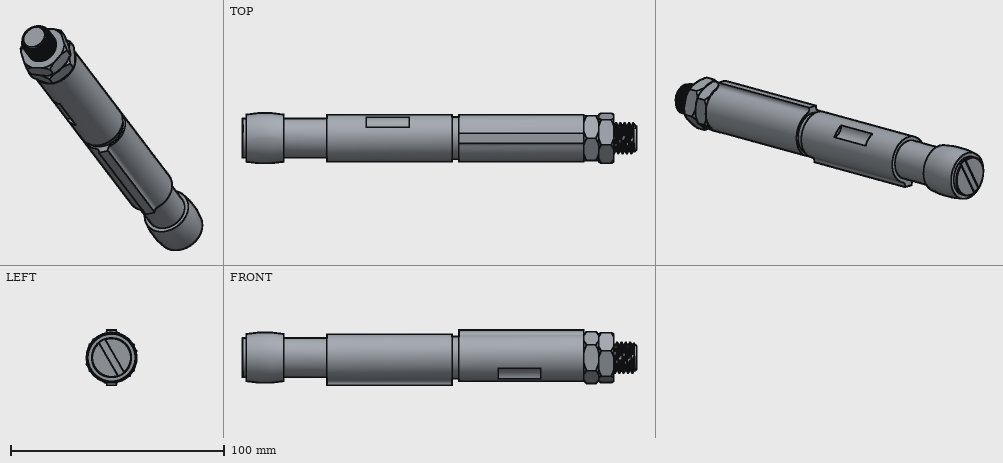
import cadquery as cq
import math

total_length = 185.0

tip_length = 1.8
tip_diameter = 18.5
tip_chamfer = 0.28
slot_width = 3.3
slot_depth = 0.5
slot_tilt = 30.0
head_end_x = 19.6
head_end_diameter = 22.2
head_diameter = 23.9
neck_diameter = 18.5

sleeve_diameter = 22.2
sleeve_length = 58.6
front_sleeve_x = 39.8
groove_diameter = 20.0
groove_width = 3.1
rear_sleeve_x = front_sleeve_x + sleeve_length + groove_width

overall_height = 26.0
key_height = overall_height / 2
key_width = 4.6
key_fillet = 2.0

pocket_length = 20.0
pocket_radius = 5.0
pocket_offset = 14.2
pocket_angle = 45.0
pocket_start = 18.5

hex_across_flats = 21.0
hex_chamfer = 1.3
hex_x = rear_sleeve_x + sleeve_length
hex_length = 6.8
nut_x = hex_x + hex_length
nut_length = 7.2
nut_turn = 15.0

stud_x = nut_x + nut_length
thread_diameter = 14.5
core_diameter = 12.0
thread_pitch = 2.0
crest_width = 0.2
thread_foot_width = 1.5
flank_steps = 8
stud_chamfer = 1.8
crest_up_x = 179.8


def cylinder(start_x, end_x, diameter):
    """Solid cylinder on the X axis."""
    return cq.Workplane("YZ", origin=(start_x, 0, 0)).circle(diameter / 2).extrude(end_x - start_x)


def half_turn(body):
    """Body turned by half a turn about the X axis."""
    return body.rotate((0, 0, 0), (1, 0, 0), 180)


def slotted_tip():
    """Round end with a rim chamfer and a shallow tilted screwdriver slot."""
    tip = cylinder(0, tip_length, tip_diameter).faces("<X").chamfer(tip_chamfer)
    slot = cq.Workplane("XY").box(2 * slot_depth, slot_width, 2 * tip_diameter)
    return tip.cut(slot.rotate((0, 0, 0), (1, 0, 0), -slot_tilt))


def crowned_head():
    """Head whose side bulges in an arc to its full diameter halfway along."""
    return (
        cq.Workplane("XZ")
        .moveTo(tip_length, 0)
        .lineTo(tip_length, head_end_diameter / 2)
        .threePointArc(
            ((tip_length + head_end_x) / 2, head_diameter / 2),
            (head_end_x, head_end_diameter / 2),
        )
        .lineTo(head_end_x, 0)
        .close()
        .revolve(360, (0, 0, 0), (1, 0, 0))
    )


def keyed_sleeve(start_x):
    """Sleeve with a filleted key rail on +Z and a round-bottomed pocket on the lower -Y side."""
    sleeve_radius = sleeve_diameter / 2
    half_width = key_width / 2
    fillet_y = half_width + key_fillet
    fillet_z = math.sqrt((sleeve_radius + key_fillet) ** 2 - fillet_y**2)
    foot_share = sleeve_radius / (sleeve_radius + key_fillet)
    foot_y = fillet_y * foot_share
    foot_z = fillet_z * foot_share
    middle_angle = math.pi + math.atan2(fillet_z, fillet_y) / 2
    middle_y = fillet_y + key_fillet * math.cos(middle_angle)
    middle_z = fillet_z + key_fillet * math.sin(middle_angle)
    key = (
        cq.Workplane("YZ", origin=(start_x, 0, 0))
        .moveTo(0, 0)
        .lineTo(foot_y, foot_z)
        .threePointArc((middle_y, middle_z), (half_width, fillet_z))
        .lineTo(half_width, key_height)
        .lineTo(-half_width, key_height)
        .lineTo(-half_width, fillet_z)
        .threePointArc((-middle_y, middle_z), (-foot_y, foot_z))
        .close()
        .extrude(sleeve_length)
    )
    pocket_y = -pocket_offset * math.cos(math.radians(pocket_angle))
    pocket_z = -pocket_offset * math.sin(math.radians(pocket_angle))
    pocket_x = start_x + pocket_start
    pocket = cylinder(pocket_x, pocket_x + pocket_length, 2 * pocket_radius)
    sleeve = cylinder(start_x, start_x + sleeve_length, sleeve_diameter)
    return sleeve.union(key).cut(pocket.translate((0, pocket_y, pocket_z)))


def chamfered_hexagon(start_x, length, turn):
    """Hexagon with turned corners; with no turn, two flats face +Y and -Y."""
    half_side_angle = math.pi / 6
    corner_diameter = hex_across_flats / math.cos(half_side_angle)
    prism = (
        cq.Workplane("YZ", origin=(start_x, 0, 0))
        .polygon(6, corner_diameter)
        .extrude(length)
        .rotate((0, 0, 0), (1, 0, 0), 90 + turn)
    )
    turned = cylinder(start_x, start_x + length, corner_diameter).faces("<X or >X").chamfer(hex_chamfer)
    return prism.intersect(turned)


def polar_point(radius, angle):
    """Point at an angle in degrees, in the plane across the axis."""
    return (radius * math.cos(math.radians(angle)), radius * math.sin(math.radians(angle)))


def flank_points(start_radius, start_angle, end_radius, end_angle):
    """Points along a spiral thread flank, after its start, whose radius changes evenly with angle."""
    points = []
    for step in range(1, flank_steps + 1):
        share = step / flank_steps
        radius = start_radius + share * (end_radius - start_radius)
        points.append(polar_point(radius, start_angle + share * (end_angle - start_angle)))
    return points


def threaded_stud():
    """Single-start thread: its cross-section twisted along the axis, with a chamfered free end."""
    stud_length = total_length - stud_x
    degrees_per_length = 360 / thread_pitch
    crest_half = degrees_per_length * crest_width / 2
    foot_half = degrees_per_length * thread_foot_width / 2
    core_radius = core_diameter / 2
    crest_radius = thread_diameter / 2
    crest_up_angle = 90 - degrees_per_length * (crest_up_x - stud_x)
    thread = (
        cq.Workplane("YZ")
        .moveTo(*polar_point(crest_radius, -crest_half))
        .threePointArc(polar_point(crest_radius, 0), polar_point(crest_radius, crest_half))
        .spline(flank_points(crest_radius, crest_half, core_radius, foot_half), includeCurrent=True)
        .threePointArc(polar_point(core_radius, 180), polar_point(core_radius, -foot_half))
        .spline(flank_points(core_radius, -foot_half, crest_radius, -crest_half), includeCurrent=True)
        .close()
        .twistExtrude(stud_length, degrees_per_length * stud_length)
        .rotate((0, 0, 0), (1, 0, 0), crest_up_angle)
        .translate((stud_x, 0, 0))
    )
    clearance = 0.5
    envelope = cylinder(stud_x, total_length, thread_diameter + 2 * clearance)
    return thread.intersect(envelope.faces(">X").chamfer(stud_chamfer + clearance))


rear_sleeve = keyed_sleeve(rear_sleeve_x)
front_sleeve = half_turn(keyed_sleeve(front_sleeve_x))

result = (
    slotted_tip()
    .union(crowned_head())
    .union(cylinder(head_end_x, front_sleeve_x, neck_diameter))
    .union(front_sleeve)
    .union(cylinder(front_sleeve_x + sleeve_length, rear_sleeve_x, groove_diameter))
    .union(rear_sleeve)
    .union(chamfered_hexagon(hex_x, hex_length, 0))
    .union(chamfered_hexagon(nut_x, nut_length, nut_turn))
    .union(threaded_stud())
)